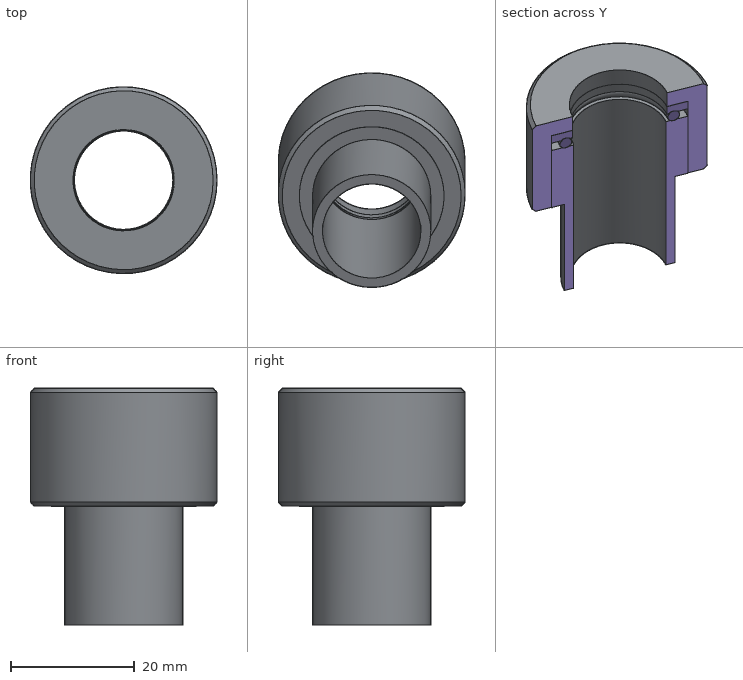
import cadquery as cq

sleeve_diameter = 30.15
sleeve_chamfer = 0.65
sleeve_top_z = 38.23
sleeve_bottom_z = 19.2

upper_bore_diameter = 16.25
rim_thickness = 3.17
seat_height = 1.65

ring_outer_diameter = 23.35

seal_outer_diameter = 20.65
seal_section_diameter = 2.1
seal_gap = 1.53

tube_diameter = 19.08
tube_bore_diameter = 15.85
flange_bottom_z = 19.1

seat_top_z = sleeve_top_z - rim_thickness
seat_bottom_z = seat_top_z - seat_height
flange_top_z = seat_bottom_z - seal_gap
seal_center_radius = (seal_outer_diameter - seal_section_diameter) / 2
seal_center_z = seat_bottom_z - seal_gap / 2


def cylinder(diameter, bottom_z, top_z):
    """Solid cylinder on the Z axis between two heights."""
    return cq.Workplane("XY").workplane(offset=bottom_z).circle(diameter / 2).extrude(top_z - bottom_z)


def make_seal():
    """O-ring lying in the gap between the seat ring and the tube flange."""
    return (
        cq.Workplane("XZ")
        .center(seal_center_radius, seal_center_z)
        .circle(seal_section_diameter / 2)
        .revolve(360, (-seal_center_radius, 0, 0), (-seal_center_radius, 1, 0))
    )


def make_sleeve():
    """Chamfered sleeve whose top rim closes over the seat ring and flange."""
    body = cylinder(sleeve_diameter, sleeve_bottom_z, sleeve_top_z)
    body = body.faces("<Z or >Z").edges().chamfer(sleeve_chamfer)
    return (
        body
        .cut(cylinder(ring_outer_diameter, sleeve_bottom_z, seat_top_z))
        .cut(cylinder(upper_bore_diameter, seat_top_z, sleeve_top_z))
    )


def make_seat_ring(seal):
    """Ring under the sleeve rim, grooved for the top of the seal."""
    body = cylinder(ring_outer_diameter, seat_bottom_z, seat_top_z)
    return body.cut(cylinder(upper_bore_diameter, seat_bottom_z, seat_top_z)).cut(seal)


def make_tube(seal):
    """Tail tube with a flange inside the sleeve, grooved for the bottom of the seal."""
    flange = cylinder(ring_outer_diameter, flange_bottom_z, flange_top_z)
    body = flange.union(cylinder(tube_diameter, 0, flange_bottom_z))
    body = body.cut(cylinder(tube_bore_diameter, 0, flange_top_z))
    return body.cut(seal)


seal = make_seal()
sleeve = make_sleeve()
seat_ring = make_seat_ring(seal)
tube = make_tube(seal)

result = cq.Compound.makeCompound([sleeve.val(), seat_ring.val(), seal.val(), tube.val()])